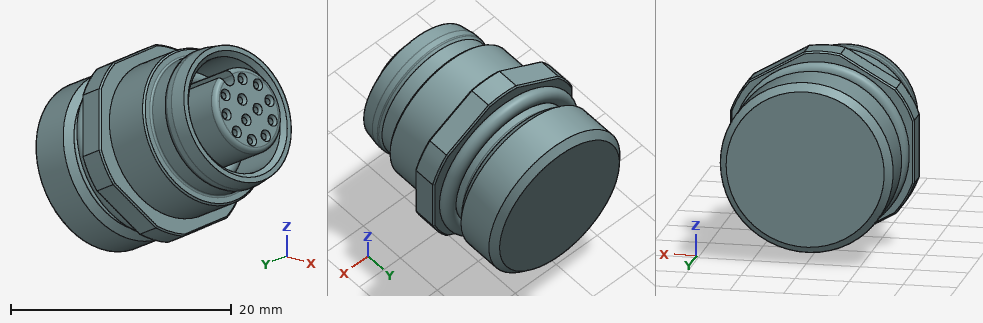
import cadquery as cq
import math


length = 20.9

collar_radius = 16.0 / 2
collar_chamfer = 0.7
collar_front = 15.75

neck_radius = 13.5 / 2
neck_fillet = 0.5

seal_section_radius = 0.75
seal_squeeze = 0.05
seal_mid_radius = neck_radius + seal_section_radius - seal_squeeze

flange_rear = 13.3
flange_front = 10.76
flange_sides = 6
flange_across_flats = 17.0
flange_corner_diameter = 18.0
flange_chamfer = 0.15

body_radius = 14.8 / 2
body_front = 6.0
body_chamfer = 0.17

relief_radius = 13.0 / 2
relief_fillet = 0.19
rim_radius = 13.4 / 2
bevel_angle = 30.0
crest_round = 0.3
rim_rear = 3.65
rim_front = 2.99
sleeve_front = 1.55
sleeve_nose_radius = 6.45

bore_radius = 11.0 / 2
bore_chamfer = 0.45
cavity_floor = 7.32

core_radius = 4.05
core_fillet = 0.5
key_width = 1.3
key_center_radius = 3.39
key_angle = 135.0

outer_hole_count = 9
outer_hole_circle_radius = 2.88
outer_hole_pitch = 37.5
inner_hole_count = 3
inner_hole_circle_radius = 1.1
hole_mouth_diameter = 1.09
hole_diameter = 0.6
hole_countersink_depth = 0.3
hole_depth = 0.84


def crest_point(angle):
    """Profile point on the rounded rear crest of the rim, at an angle behind the radial direction."""
    radius = rim_radius - crest_round * (1 - math.cos(math.radians(angle)))
    return radius, rim_rear + crest_round * math.sin(math.radians(angle))


def make_turned_body():
    """Revolve the full outline: collar, neck, outer seal, body, sleeve, cavity and core."""
    arc_share = math.sqrt(0.5)
    collar_end_radius = collar_radius - collar_chamfer
    seal_y = flange_rear + seal_section_radius
    seal_contact_half_width = math.sqrt(seal_section_radius**2 - (seal_mid_radius - neck_radius) ** 2)
    fillet_center = (neck_radius + neck_fillet, collar_front - neck_fillet)
    relief_center = (relief_radius + relief_fillet, body_front - relief_fillet)
    crest_middle = crest_point(bevel_angle / 2)
    bevel_end = crest_point(bevel_angle)
    bevel_start = bevel_end[1] + (bevel_end[0] - relief_radius) / math.tan(math.radians(bevel_angle))
    core_center = (core_radius - core_fillet, core_fillet)
    inner_seal_mid_radius = (bore_radius + core_radius) / 2
    inner_seal_section_radius = (bore_radius - core_radius) / 2

    outline = (
        cq.Workplane("XY")
        .moveTo(0, length)
        .lineTo(collar_end_radius, length)
        .lineTo(collar_radius, length - collar_chamfer)
        .lineTo(collar_radius, collar_front + collar_chamfer)
        .lineTo(collar_end_radius, collar_front)
        .lineTo(fillet_center[0], collar_front)
        .threePointArc(
            (fillet_center[0] - neck_fillet * arc_share, fillet_center[1] + neck_fillet * arc_share),
            (neck_radius, fillet_center[1]),
        )
        .lineTo(neck_radius, seal_y + seal_contact_half_width)
        .threePointArc(
            (seal_mid_radius + seal_section_radius, seal_y),
            (seal_mid_radius, flange_rear),
        )
        .lineTo(body_radius, flange_rear)
        .lineTo(body_radius, body_front + body_chamfer)
        .lineTo(body_radius - body_chamfer, body_front)
        .lineTo(relief_center[0], body_front)
        .threePointArc(
            (relief_center[0] - relief_fillet * arc_share, relief_center[1] + relief_fillet * arc_share),
            (relief_radius, relief_center[1]),
        )
        .lineTo(relief_radius, bevel_start)
        .lineTo(*bevel_end)
        .threePointArc(crest_middle, (rim_radius, rim_rear))
        .lineTo(rim_radius, rim_front)
        .lineTo(sleeve_nose_radius, sleeve_front)
        .lineTo(bore_radius + bore_chamfer, sleeve_front)
        .lineTo(bore_radius, sleeve_front + bore_chamfer)
        .lineTo(bore_radius, cavity_floor)
        .threePointArc(
            (inner_seal_mid_radius, cavity_floor - inner_seal_section_radius),
            (core_radius, cavity_floor),
        )
        .lineTo(core_radius, core_fillet)
        .threePointArc(
            (core_center[0] + core_fillet * arc_share, core_center[1] - core_fillet * arc_share),
            (core_center[0], 0),
        )
        .lineTo(0, 0)
        .close()
    )
    return outline.revolve(360, (0, 0, 0), (0, 1, 0))


def along_y(shape, start):
    """Turn a shape built along +Z so that it runs along +Y from the given Y. Its +Y becomes -Z."""
    return shape.rotate((0, 0, 0), (1, 0, 0), -90).translate((0, start, 0))


def make_flange():
    """Hexagon with flats facing +X and -X, cut by a round and chamfered on both faces."""
    thickness = flange_rear - flange_front
    half_side_angle = 180 / flange_sides
    across_corners = flange_across_flats / math.cos(math.radians(half_side_angle))
    hexagon = cq.Workplane("XY").polygon(flange_sides, across_corners).extrude(thickness)
    hexagon = hexagon.rotate((0, 0, 0), (0, 0, 1), half_side_angle)
    disc = cq.Workplane("XY").circle(flange_corner_diameter / 2).extrude(thickness)
    flange = hexagon.intersect(disc).faces("<Z or >Z").chamfer(flange_chamfer)
    return along_y(flange, flange_front)


def make_keyway():
    """Round-bottomed slot open to the outside of the core, running back to the cavity floor."""
    slot_length = core_radius - key_center_radius
    round_bottom = cq.Workplane("XY").circle(key_width / 2).extrude(cavity_floor)
    channel = cq.Workplane("XY").rect(slot_length, key_width).extrude(cavity_floor)
    keyway = round_bottom.union(channel.translate((slot_length / 2, 0, 0)))
    keyway = keyway.translate((key_center_radius, 0, 0)).rotate((0, 0, 0), (0, 0, 1), -key_angle)
    within_core = cq.Workplane("XY").circle(core_radius).extrude(cavity_floor)
    return along_y(keyway.intersect(within_core), 0)


def make_contact_hole(circle_radius, angle):
    """Blind hole with a conical mouth, at a polar position on the insert face."""
    hole = (
        cq.Workplane("XZ")
        .moveTo(0, 0)
        .lineTo(hole_mouth_diameter / 2, 0)
        .lineTo(hole_diameter / 2, hole_countersink_depth)
        .lineTo(hole_diameter / 2, hole_depth)
        .lineTo(0, hole_depth)
        .close()
        .revolve(360, (0, 0, 0), (0, 1, 0))
    )
    x = circle_radius * math.cos(math.radians(angle))
    z = circle_radius * math.sin(math.radians(angle))
    return along_y(hole, 0).translate((x, 0, z))


result = make_turned_body().union(make_flange()).cut(make_keyway())

first_outer_angle = key_angle + 180 - outer_hole_pitch * (outer_hole_count - 1) / 2
for i in range(outer_hole_count):
    result = result.cut(make_contact_hole(outer_hole_circle_radius, first_outer_angle + i * outer_hole_pitch))

for i in range(inner_hole_count):
    result = result.cut(make_contact_hole(inner_hole_circle_radius, key_angle + i * 360 / inner_hole_count))